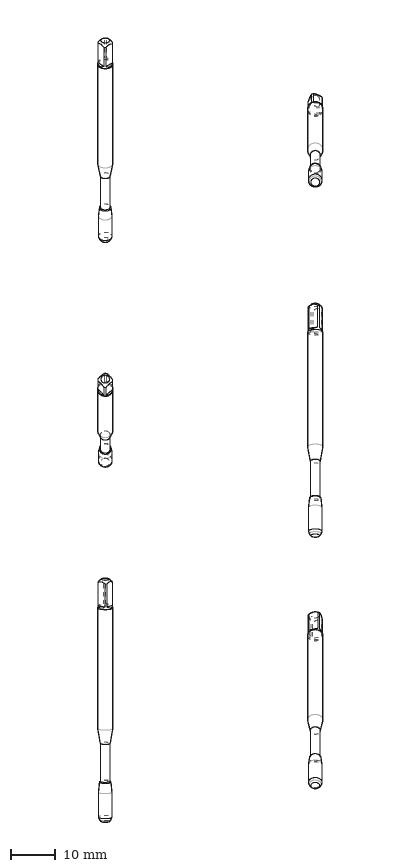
import cadquery as cq
import math

TOTAL_LENGTH = 56.1

HEAD_DIAMETER = 3.1
HEAD_TIP_DIAMETER = 1.95
HEAD_TIP_HEIGHT = 0.45
HEAD_SHOULDER_DIAMETER = 2.65
HEAD_SHOULDER_HEIGHT = 1.0
HEAD_TAPER_START = 6.8
HEAD_TAPER_TOP = 9.1
HEAD_TOP = 9.3
HEAD_TAPER_DIAMETER = 2.65

NECK_DIAMETER = 2.25
NECK_TOP = 18.05
SHANK_TAPER_DIAMETER = 2.35
SHANK_TAPER_BOTTOM = 18.25
SHANK_TAPER_TOP = 21.55
SHANK_DIAMETER = 3.5
SHANK_TOP = 49.4

DRIVE_ROUND_DIAMETER = 3.35
DRIVE_ACROSS_FLATS = 2.7
DRIVE_TOP_CHAMFER = 0.75

RAMP_TOP = 50.05
RAMP_ANGLE = 45
DRIVE_SIDES = 4


def revolve_profile(profile):
    """Revolve (diameter, height) points, listed from bottom to top, about Z."""
    outline = [(diameter / 2, height) for diameter, height in profile]
    bottom_height = profile[0][1]
    top_height = profile[-1][1]
    return (
        cq.Workplane("XZ")
        .polyline([(0, bottom_height), *outline, (0, top_height)])
        .close()
        .revolve(360, (0, 0, 0), (0, 1, 0))
    )


def make_head():
    """Round head with a two-step conical tip and a taper that leads up to the neck."""
    return revolve_profile([
        (HEAD_TIP_DIAMETER, 0),
        (HEAD_SHOULDER_DIAMETER, HEAD_TIP_HEIGHT),
        (HEAD_DIAMETER, HEAD_SHOULDER_HEIGHT),
        (HEAD_DIAMETER, HEAD_TAPER_START),
        (HEAD_TAPER_DIAMETER, HEAD_TAPER_TOP),
        (NECK_DIAMETER, HEAD_TOP),
    ])


def make_ramp_cutter():
    """Wedge-shaped cutter that clears one flat and the ramp at its foot."""
    flat_position = DRIVE_ACROSS_FLATS / 2
    outer_position = SHANK_DIAMETER
    ramp_drop = (outer_position - flat_position) * math.tan(math.radians(RAMP_ANGLE))
    return (
        cq.Workplane("XZ")
        .moveTo(flat_position, RAMP_TOP)
        .lineTo(outer_position, RAMP_TOP - ramp_drop)
        .lineTo(outer_position, TOTAL_LENGTH)
        .lineTo(flat_position, TOTAL_LENGTH)
        .close()
        .extrude(SHANK_DIAMETER / 2, both=True)
    )


def make_shank():
    """Neck, tapered shank and drive end in one piece, resting on the head."""
    shank_body = revolve_profile([
        (NECK_DIAMETER, HEAD_TOP),
        (NECK_DIAMETER, NECK_TOP),
        (SHANK_TAPER_DIAMETER, SHANK_TAPER_BOTTOM),
        (SHANK_DIAMETER, SHANK_TAPER_TOP),
        (SHANK_DIAMETER, SHANK_TOP),
        (DRIVE_ROUND_DIAMETER, SHANK_TOP),
        (DRIVE_ROUND_DIAMETER, TOTAL_LENGTH - DRIVE_TOP_CHAMFER),
        (DRIVE_ROUND_DIAMETER - 2 * DRIVE_TOP_CHAMFER, TOTAL_LENGTH),
    ])
    ramp_cutter = make_ramp_cutter()
    for side in range(DRIVE_SIDES):
        angle = side * 360 / DRIVE_SIDES
        shank_body = shank_body.cut(ramp_cutter.rotate((0, 0, 0), (0, 0, 1), angle))
    return shank_body


head = make_head()
shank = make_shank()

result = cq.Compound.makeCompound([head.val(), shank.val()])